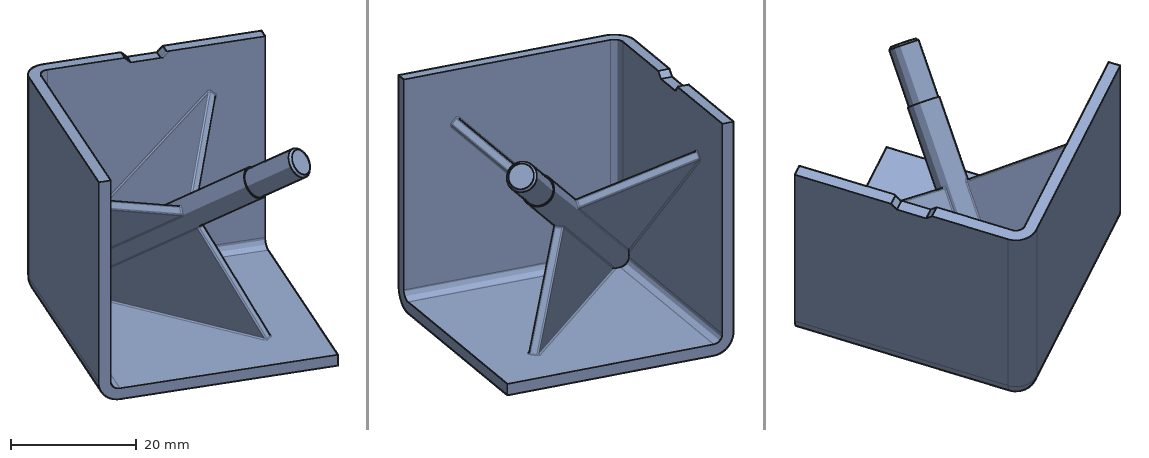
import cadquery as cq
import math

side = 40.0
wall = 2.0
outer_radius = 3.5
inner_radius = outer_radius - wall

notch_width = 7.0
notch_depth = 1.0

pin_diameter = 5.35
tip_diameter = 5.0
tip_length = 10.0
tip_chamfer = 0.4
pin_axis = cq.Vector(1, 1, 1).normalized()
pin_end = 35.3
pin_length = pin_end * math.sqrt(3)
pin_start = wall * math.sqrt(3)

gusset_thickness = 1.6
gusset_reach = 37.2
gusset_rim_fillet = 0.25
weld_fillet = 0.25

tolerance = 0.01


def rounded_corner_block(start, radius):
    """Block from (start, start, start) to the far sides, rounded at the near corner."""
    length = side - start
    block = cq.Workplane("XY").box(length, length, length, centered=False)
    near_edges = cq.selectors.BoxSelector((-0.4, -0.4, -0.4), (0.4, 0.4, length))
    near_edges += cq.selectors.BoxSelector((-0.4, -0.4, -0.4), (0.4, length, 0.4))
    near_edges += cq.selectors.BoxSelector((-0.4, -0.4, -0.4), (length, 0.4, 0.4))
    return block.edges(near_edges).fillet(radius).translate((start, start, start))


def make_notch():
    half_top = notch_width / 2
    half_bottom = half_top - notch_depth
    return (
        cq.Workplane("YZ")
        .moveTo(side / 2 - half_top, side)
        .lineTo(side / 2 - half_bottom, side - notch_depth)
        .lineTo(side / 2 + half_bottom, side - notch_depth)
        .lineTo(side / 2 + half_top, side)
        .close()
        .extrude(wall)
    )


def make_pin():
    diagonal = cq.Plane(origin=(0, 0, 0), xDir=(1, -1, 0), normal=pin_axis)
    body_length = pin_length - tip_length - pin_start
    body = cq.Workplane(diagonal).workplane(offset=pin_start).circle(pin_diameter / 2).extrude(body_length)
    tip = (
        cq.Workplane(diagonal)
        .workplane(offset=pin_length - tip_length)
        .circle(tip_diameter / 2)
        .extrude(tip_length)
        .faces(cq.selectors.DirectionMinMaxSelector(pin_axis, True))
        .chamfer(tip_chamfer)
    )
    return body.union(tip)


def make_gusset(wall_diagonal, plate_normal):
    """Right triangle between the pin axis and a wall diagonal, with its rim square to the pin."""
    plane = cq.Plane(origin=(0, 0, 0), xDir=pin_axis, normal=plate_normal)
    diagonal = cq.Vector(*wall_diagonal)
    diagonal_x = diagonal.dot(plane.xDir)
    diagonal_y = diagonal.dot(plane.yDir)
    rim_width = gusset_reach * diagonal_y / diagonal_x
    return (
        cq.Workplane(plane)
        .polyline([(0, 0), (gusset_reach, 0), (gusset_reach, rim_width)])
        .close()
        .extrude(gusset_thickness / 2, both=True)
        .faces(cq.selectors.DirectionMinMaxSelector(plane.xDir, True))
        .edges(cq.selectors.PerpendicularDirSelector(plane.zDir))
        .edges(cq.selectors.PerpendicularDirSelector(plane.xDir))
        .fillet(gusset_rim_fillet)
    )


def is_weld_edge(edge):
    """True for the straight joints of a gusset with the pin or with a wall's inner face."""
    middle = edge.positionAt(0.5)
    along_axis = abs(edge.tangentAt(0.5).dot(pin_axis))
    axial_distance = middle.dot(pin_axis)
    axis_gap = (middle - pin_axis * axial_distance).Length

    parallel_to_pin = abs(along_axis - 1) < tolerance
    on_pin_side = abs(axis_gap - pin_diameter / 2) < tolerance
    beside_gusset = axial_distance < gusset_reach * 2 / 3
    on_wall = abs(min(middle.toTuple()) - wall) < tolerance
    along_wall_diagonal = abs(along_axis - math.sqrt(2 / 3)) < tolerance
    return (parallel_to_pin and on_pin_side and beside_gusset) or (on_wall and along_wall_diagonal)


outer_block = rounded_corner_block(0, outer_radius)
cavity = rounded_corner_block(wall, inner_radius)
inserts = (
    make_pin()
    .union(make_gusset((0, 1, 1), (0, 1, -1)))
    .union(make_gusset((1, 0, 1), (1, 0, -1)))
    .union(make_gusset((1, 1, 0), (1, -1, 0)))
    .intersect(outer_block)
)
bracket = outer_block.cut(cavity).cut(make_notch()).union(inserts)
weld_edges = [edge for edge in bracket.edges("%LINE").vals() if is_weld_edge(edge)]
result = bracket.newObject(weld_edges).fillet(weld_fillet)